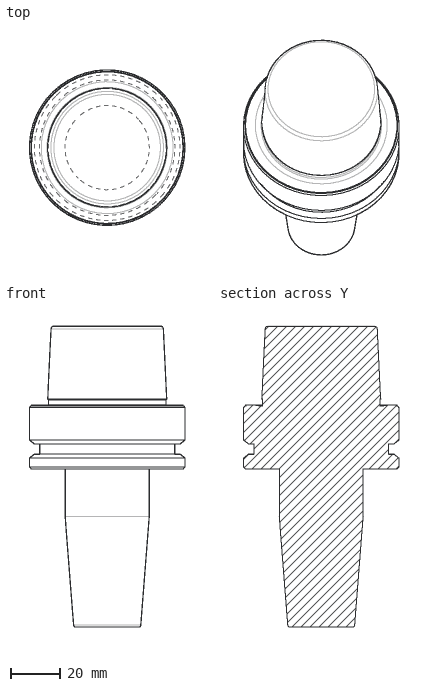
import cadquery as cq

total_height = 121.9
barrel_start = 44.7
flange_bottom = 64.0
flange_top = 90.0
shank_base = 92.4

nose_radius = 13.7
barrel_radius = 17.1
flange_radius = 31.51
groove_radius = 27.4
shank_base_radius = 24.1
neck_radius = 23.9
shank_top_radius = 22.8

groove_floor_bottom = 70.1
groove_floor_top = 74.1
groove_mouth_radius = 29.5
groove_flank_height = 1.6

relief_radius = 26.7
relief_depth = 0.4
neck_fillet = 0.5

nose_round = 1.0
flange_chamfer = 0.9
rim_step_height = 0.4
rim_step_depth = 0.9
rim_chamfer = 0.6
shank_round = 1.2
shank_base_chamfer = 0.4


def holder_profile():
    """Half section in the XZ plane, listed from the nose up to the shank."""
    rim_radius = flange_radius - rim_step_depth
    rim_shoulder = flange_top - rim_step_height
    relief_floor = flange_top - relief_depth
    return (
        cq.Workplane("XZ")
        .moveTo(0, 0)
        .lineTo(nose_radius - nose_round, 0)
        .tangentArcPoint((nose_radius, nose_round), relative=False)
        .lineTo(barrel_radius, barrel_start)
        .lineTo(barrel_radius, flange_bottom)
        .lineTo(flange_radius - flange_chamfer, flange_bottom)
        .lineTo(flange_radius, flange_bottom + flange_chamfer)
        .lineTo(flange_radius, groove_floor_bottom - groove_flank_height)
        .lineTo(groove_mouth_radius, groove_floor_bottom)
        .lineTo(groove_radius, groove_floor_bottom)
        .lineTo(groove_radius, groove_floor_top)
        .lineTo(groove_mouth_radius, groove_floor_top)
        .lineTo(flange_radius, groove_floor_top + groove_flank_height)
        .lineTo(flange_radius, rim_shoulder - rim_chamfer)
        .lineTo(flange_radius - rim_chamfer, rim_shoulder)
        .lineTo(rim_radius, rim_shoulder)
        .lineTo(rim_radius, flange_top)
        .lineTo(relief_radius, flange_top)
        .lineTo(neck_radius + neck_fillet, relief_floor)
        .tangentArcPoint((neck_radius, relief_floor + neck_fillet), relative=False)
        .lineTo(neck_radius, shank_base - shank_base_chamfer)
        .lineTo(shank_base_radius, shank_base)
        .lineTo(shank_top_radius, total_height - shank_round)
        .tangentArcPoint((shank_top_radius - shank_round, total_height), relative=False)
        .lineTo(0, total_height)
        .close()
    )


result = holder_profile().revolve(360, (0, 0, 0), (0, 1, 0))